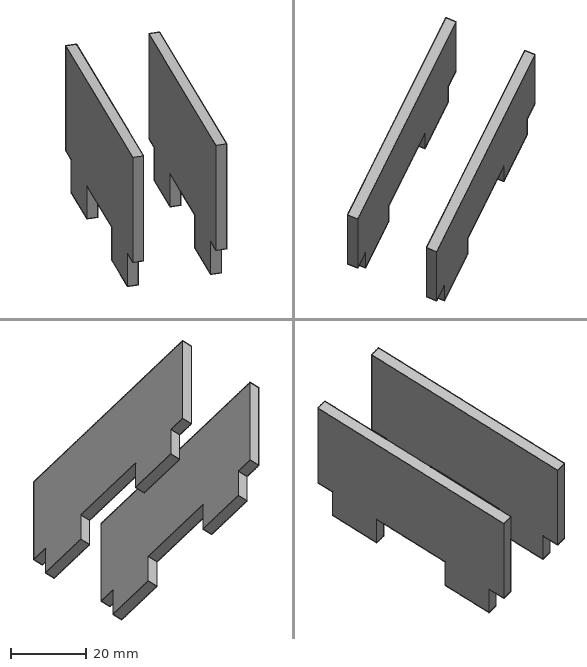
import cadquery as cq

plate_length = 63.0
overall_depth = 26.0
overall_height = 42.0
plate_thickness = 3.0
foot_height = 10.0
foot_width = 15.0
foot_inset = 5.0

panel_height = overall_height - foot_height
foot_center_x = plate_length / 2 - foot_inset - foot_width / 2
plate_center_y = (overall_depth - plate_thickness) / 2


def make_plate(center_y):
    """Upright plate standing on two feet, with the foot bottoms at Z = 0."""
    panel = cq.Workplane("XY").box(
        plate_length, plate_thickness, panel_height, centered=(True, True, False)
    ).translate((0, 0, foot_height))
    feet = (
        cq.Workplane("XY")
        .pushPoints([(-foot_center_x, 0), (foot_center_x, 0)])
        .rect(foot_width, plate_thickness)
        .extrude(foot_height)
    )
    return panel.union(feet).clean().translate((0, center_y, 0))


plates = [make_plate(center_y) for center_y in (-plate_center_y, plate_center_y)]

result = cq.Compound.makeCompound([plate.solids().val() for plate in plates])